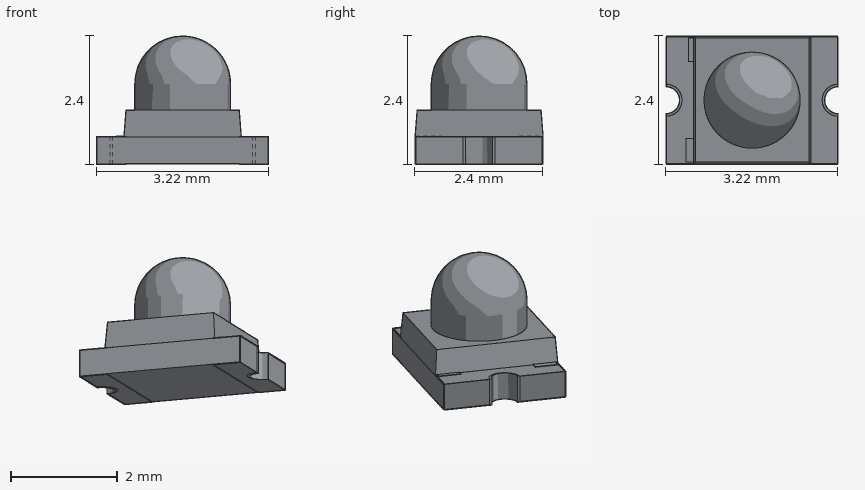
import cadquery as cq

overall_length = 3.22
metal_thickness = 0.01

board_length = overall_length - 2 * metal_thickness
board_width = 2.4
board_height = 0.5

terminal_reach = 0.55
terminal_inset = 0.02
terminal_width = board_width - 2 * terminal_inset
terminal_height = board_height + 2 * metal_thickness
notch_radius = 0.25
plating_thickness = 0.048
board_notch_radius = notch_radius + plating_thickness

lens_base_length = 2.2
lens_base_width = board_width
lens_base_height = 0.502
lens_base_side_taper = 0.04
dome_radius = 0.898
lens_post_height = 0.49

mark_thickness = metal_thickness
mark_inner_x = terminal_reach - overall_length / 2
rear_mark_outer_x = -1.188
rear_mark_y_range = (0.728, 1.16)
front_mark_outer_x = -1.24
front_mark_y_range = (-1.16, -0.715)


def end_notches(radius):
    """Upright cylinders centred on the outermost -X and +X faces of the terminals."""
    return (
        cq.Workplane("XY")
        .workplane(offset=-metal_thickness)
        .pushPoints([(-overall_length / 2, 0), (overall_length / 2, 0)])
        .circle(radius)
        .extrude(terminal_height)
    )


def make_board():
    """Plate from z = 0 upward, with a half-round notch in each end."""
    plate = cq.Workplane("XY").box(board_length, board_width, board_height, centered=(True, True, False))
    return plate.cut(end_notches(board_notch_radius))


def make_terminal(side, board):
    """Metal wrap around the board end at -X (side = -1) or +X (side = 1)."""
    wrap = (
        cq.Workplane("XY")
        .box(terminal_reach, terminal_width, terminal_height, centered=(True, True, False))
        .translate((side * (overall_length - terminal_reach) / 2, 0, -metal_thickness))
    )
    return wrap.cut(board).cut(end_notches(notch_radius))


def make_mark(outer_x, y_range):
    """Thin rectangular pad lying on top of the -X terminal."""
    y_start, y_end = y_range
    return (
        cq.Workplane("XY")
        .box(mark_inner_x - outer_x, y_end - y_start, mark_thickness, centered=False)
        .translate((outer_x, y_start, board_height + metal_thickness))
    )


def make_lens(covered_bodies):
    """Tapered base, post and dome, recessed underneath for the metal it covers."""
    base_top = board_height + lens_base_height
    base = (
        cq.Workplane("XY")
        .workplane(offset=board_height)
        .rect(lens_base_length, lens_base_width)
        .workplane(offset=lens_base_height)
        .rect(lens_base_length - 2 * lens_base_side_taper, lens_base_width - 2 * lens_base_side_taper)
        .loft(ruled=True)
    )
    post = cq.Workplane("XY").workplane(offset=base_top).circle(dome_radius).extrude(lens_post_height)
    dome_profile = (
        cq.Workplane("XZ")
        .moveTo(0, 0)
        .lineTo(dome_radius, 0)
        .radiusArc((0, dome_radius), -dome_radius)
        .close()
    )
    dome = dome_profile.revolve(360, (0, 0), (0, 1)).translate((0, 0, base_top + lens_post_height))
    lens = base.union(post).union(dome)
    for body in covered_bodies:
        lens = lens.cut(body)
    return lens


board = make_board()
terminals = [make_terminal(side, board) for side in (-1, 1)]
marks = [
    make_mark(rear_mark_outer_x, rear_mark_y_range),
    make_mark(front_mark_outer_x, front_mark_y_range),
]
lens = make_lens(terminals + marks)

bodies = [board, lens, *terminals, *marks]
result = cq.Compound.makeCompound([body.val() for body in bodies])